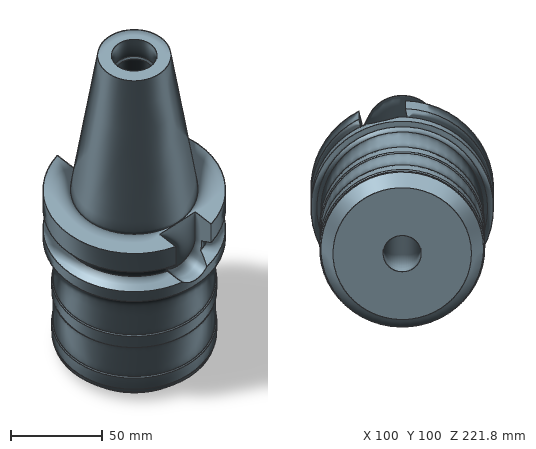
import cadquery as cq

total_height = 221.8

nose_radius = 44.5
nose_chamfer_radius = 38.0
nose_chamfer_height = 7.3
nose_top = 79.5

band_radius = 45.2
band_height = 9.8
band_bottoms = (9.3, 41.3)
band_chamfer = band_radius - nose_radius

flange_radius = 50.02
flange_bottom = 81.8
flange_top = 118.7
relief_radius = 46.8
groove_radius = 42.5
groove_lower_edge = 89.4
groove_upper_edge = 104.5
groove_side_height = 4.5

gauge_radius = 34.93
gauge_height = 120.0
taper_ratio = 7 / 24
taper_tip_radius = gauge_radius - (total_height - gauge_height) * taper_ratio / 2

slot_half_width = 13.0
slot_floor = 35.3
slot_arc_center = 99.0

bore_radius = 10.5
counterbore_radius = 12.5
counterbore_depth = 13.0


def revolved_body():
    """Revolve the half outline (radius, height) about the Z axis."""
    outline = [
        (0, 0),
        (nose_chamfer_radius, 0),
        (nose_radius, nose_chamfer_height),
        (nose_radius, nose_top),
        (relief_radius, flange_bottom),
        (flange_radius, flange_bottom),
        (flange_radius, groove_lower_edge),
        (groove_radius, groove_lower_edge + groove_side_height),
        (groove_radius, groove_upper_edge - groove_side_height),
        (flange_radius, groove_upper_edge),
        (flange_radius, flange_top),
        (gauge_radius, flange_top),
        (gauge_radius, gauge_height),
        (taper_tip_radius, total_height),
        (0, total_height),
    ]
    return cq.Workplane("XZ").polyline(outline).close().revolve(360, (0, 0), (0, 1))


def band(bottom):
    """Raised band with chamfered rims."""
    return (
        cq.Workplane("XY", origin=(0, 0, bottom))
        .circle(band_radius)
        .extrude(band_height)
        .edges()
        .chamfer(band_chamfer)
    )


def drive_slot(side):
    """Round-bottomed slot open at the flange top, on the +X or -X side."""
    return (
        cq.Workplane("YZ", origin=(side * slot_floor, 0, 0))
        .moveTo(-slot_half_width, flange_top)
        .lineTo(-slot_half_width, slot_arc_center)
        .threePointArc((0, slot_arc_center - slot_half_width), (slot_half_width, slot_arc_center))
        .lineTo(slot_half_width, flange_top)
        .close()
        .extrude(side * flange_radius)
    )


def stepped_bore():
    """Through bore, counterbored at the small end of the taper."""
    bore = cq.Workplane("XY").circle(bore_radius).extrude(total_height)
    counterbore = (
        cq.Workplane("XY", origin=(0, 0, total_height - counterbore_depth))
        .circle(counterbore_radius)
        .extrude(counterbore_depth)
    )
    return bore.union(counterbore)


result = revolved_body()
for band_bottom in band_bottoms:
    result = result.union(band(band_bottom))
for slot_side in (-1, 1):
    result = result.cut(drive_slot(slot_side))
result = result.cut(stepped_bore())